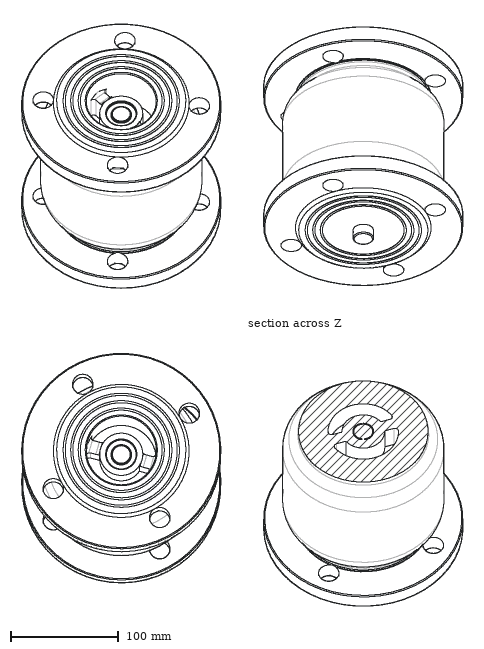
import cadquery as cq
import math

face_to_face = 170.0
mid_height = face_to_face / 2

flange_diameter = 185.0
flange_thickness = 16.0
flange_chamfer = 1.0
raised_face_height = 3.0
raised_face_top_diameter = 120.0
raised_face_base_diameter = raised_face_top_diameter + 2 * raised_face_height
flange_back = raised_face_height + flange_thickness

bolt_hole_diameter = 19.0
bolt_circle_diameter = 145.0
bolt_count = 4
first_bolt_angle = 180 / bolt_count

groove_outer_diameters = (108.0, 94.0, 80.0)
groove_width = 2.0
groove_depth = groove_width / 2

body_diameter = 150.0
shoulder_radius = 20.0
shoulder_angle = 45.0
neck_diameter = 120.0
neck_radius = 3.0
neck_height = 23.0
neck_collar_diameter = 127.0
neck_collar_height = 0.8

bore_diameter = 65.0
bore_depth = 45.0
bore_chamfer = 1.0
hub_diameter = 40.0
hub_depth = 19.0
hub_recess_diameter = 29.0
hub_recess_depth = 2.0
hub_recess_chamfer = 0.7
arm_width = 12.0
arm_drop = 2.0
arm_fillet = 3.0

stem_diameter = 19.0
stem_top_diameter = 18.0
stem_shoulder_drop = 1.0
stem_chamfer = 1.0
stem_top_chamfer = 0.7
stem_projection = 10.0
stem_above_recess = 1.0


def disc(diameter, bottom, top):
    """Upright cylinder on the part axis between two heights."""
    return cq.Workplane("XY").workplane(offset=bottom).circle(diameter / 2).extrude(top - bottom)


def make_half_body():
    """Lower half of the flanged body, revolved about Z."""
    diagonal = math.sin(math.radians(shoulder_angle))
    flange_r = flange_diameter / 2
    body_r = body_diameter / 2

    neck_center_r = neck_diameter / 2 + neck_radius
    neck_end_r = neck_center_r - neck_radius * diagonal
    neck_bottom = neck_height - neck_radius * diagonal
    neck_top = neck_height + neck_radius * diagonal
    collar_top = flange_back + neck_collar_height
    neck_base_r = neck_end_r + neck_bottom - collar_top

    shoulder_center_r = body_r - shoulder_radius
    shoulder_start_r = shoulder_center_r + shoulder_radius * diagonal
    shoulder_start = neck_top + shoulder_start_r - neck_end_r
    shoulder_end = shoulder_start + shoulder_radius * diagonal
    half_angle = math.radians(shoulder_angle / 2)
    shoulder_mid = (
        shoulder_center_r + shoulder_radius * math.cos(half_angle),
        shoulder_end - shoulder_radius * math.sin(half_angle),
    )

    return (
        cq.Workplane("XZ")
        .moveTo(0, 0)
        .lineTo(raised_face_top_diameter / 2, 0)
        .lineTo(raised_face_base_diameter / 2, raised_face_height)
        .lineTo(flange_r - flange_chamfer, raised_face_height)
        .lineTo(flange_r, raised_face_height + flange_chamfer)
        .lineTo(flange_r, flange_back - flange_chamfer)
        .lineTo(flange_r - flange_chamfer, flange_back)
        .lineTo(neck_collar_diameter / 2, flange_back)
        .lineTo(neck_collar_diameter / 2, collar_top)
        .lineTo(neck_base_r, collar_top)
        .lineTo(neck_end_r, neck_bottom)
        .threePointArc((neck_diameter / 2, neck_height), (neck_end_r, neck_top))
        .lineTo(shoulder_start_r, shoulder_start)
        .threePointArc(shoulder_mid, (body_r, shoulder_end))
        .lineTo(body_r, mid_height)
        .lineTo(0, mid_height)
        .close()
        .revolve(360, (0, 0, 0), (0, 1, 0))
    )


def cut_sealing_grooves(body):
    """Half-round grooves in the lower raised face."""
    for outer_diameter in groove_outer_diameters:
        outer_r = outer_diameter / 2
        ring = (
            cq.Workplane("XZ")
            .moveTo(outer_r, 0)
            .threePointArc((outer_r - groove_width / 2, groove_depth), (outer_r - groove_width, 0))
            .close()
            .revolve(360, (0, 0, 0), (0, 1, 0))
        )
        body = body.cut(ring)
    return body


def make_body():
    """Both halves, mirrored about mid height, with the bolt holes."""
    half = cut_sealing_grooves(make_half_body())
    body = half.union(half.mirror("XY", (0, 0, mid_height)))
    bolt_holes = (
        cq.Workplane("XY")
        .polarArray(bolt_circle_diameter / 2, first_bolt_angle, 360, bolt_count)
        .circle(bolt_hole_diameter / 2)
        .extrude(face_to_face)
    )
    collar_top = flange_back + neck_collar_height
    barrel = disc(body_diameter, collar_top, face_to_face - collar_top)
    return body.cut(bolt_holes.cut(barrel))


def cut_bore(body):
    """Blind bore from the top, with a chamfered rim."""
    bore_r = bore_diameter / 2
    floor = face_to_face - bore_depth
    bore = (
        cq.Workplane("XZ")
        .moveTo(0, floor)
        .lineTo(bore_r, floor)
        .lineTo(bore_r, face_to_face - bore_chamfer)
        .lineTo(bore_r + bore_chamfer, face_to_face)
        .lineTo(0, face_to_face)
        .close()
        .revolve(360, (0, 0, 0), (0, 1, 0))
    )
    return body.cut(bore)


def make_arms():
    """Arms from hub to bore wall, filleted up into both and widened at the wall."""
    floor = face_to_face - bore_depth
    hub_top = face_to_face - hub_depth
    arm_top = hub_top - arm_drop
    hub_r = hub_diameter / 2
    bore_r = bore_diameter / 2

    hub_fillet_end = hub_r + math.sqrt(arm_fillet**2 - (arm_fillet - arm_drop) ** 2)
    fillet_top = arm_top + arm_fillet

    profile = (
        cq.Workplane("XZ")
        .moveTo(0, floor)
        .lineTo(0, fillet_top)
        .lineTo(hub_fillet_end - arm_fillet, fillet_top)
        .radiusArc((hub_fillet_end, arm_top), -arm_fillet)
        .lineTo(bore_r - arm_fillet, arm_top)
        .radiusArc((bore_r, fillet_top), -arm_fillet)
        .lineTo(bore_r, floor)
        .close()
        .extrude(bore_r, both=True)
    )
    slot = cq.Workplane("XY").box(bore_diameter, arm_width, 2 * face_to_face)
    openings = disc(bore_diameter, floor, fillet_top).cut(slot).edges("|Z").fillet(arm_fillet)
    ring = disc(bore_diameter, floor, fillet_top).cut(disc(hub_diameter, floor, fillet_top))
    arm = ring.intersect(profile).cut(openings)
    return arm.union(arm.mirror("YZ"))


def make_hub():
    """Hub on the bore floor, with a chamfered recess and a hole for the stem's end."""
    bottom = face_to_face - bore_depth
    top = face_to_face - hub_depth
    recess_floor = top - hub_recess_depth
    shoulder = recess_floor - stem_shoulder_drop
    recess_rim_r = hub_recess_diameter / 2
    recess_r = recess_rim_r - hub_recess_chamfer
    return (
        cq.Workplane("XZ")
        .moveTo(0, bottom)
        .lineTo(hub_diameter / 2, bottom)
        .lineTo(hub_diameter / 2, top)
        .lineTo(recess_rim_r, top)
        .lineTo(recess_r, top - hub_recess_chamfer)
        .lineTo(recess_r, recess_floor)
        .lineTo(stem_diameter / 2, recess_floor)
        .lineTo(stem_diameter / 2, shoulder)
        .lineTo(0, shoulder)
        .close()
        .revolve(360, (0, 0, 0), (0, 1, 0))
    )


def make_stem():
    """Stem with both ends chamfered and a slimmer upper end."""
    recess_floor = face_to_face - hub_depth - hub_recess_depth
    shoulder = recess_floor - stem_shoulder_drop
    lower = disc(stem_diameter, -stem_projection, shoulder).faces("<Z").chamfer(stem_chamfer)
    upper = disc(stem_top_diameter, shoulder, recess_floor + stem_above_recess)
    return lower.union(upper.faces(">Z").chamfer(stem_top_chamfer))


result = cut_bore(make_body()).union(make_arms()).union(make_hub()).union(make_stem())